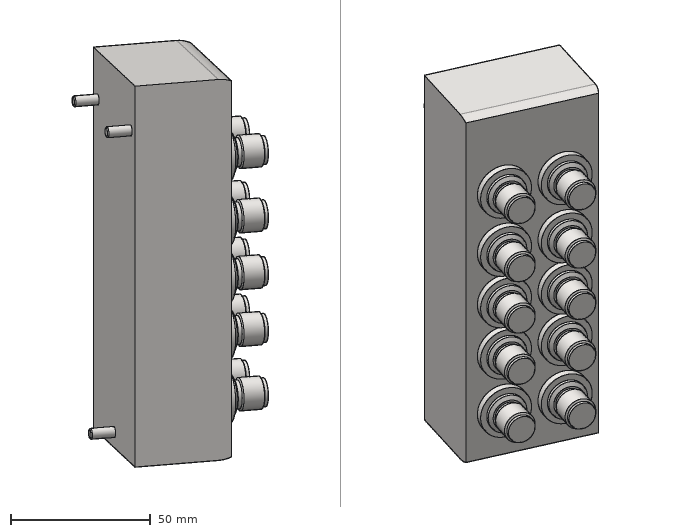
import cadquery as cq
import math


OVERALL_DEPTH = 61.6

HOUSING_WIDTH = 53.2
HOUSING_DEPTH = 36.0
HOUSING_HEIGHT = 142.0
EDGE_ROUND_DEPTH = 5.0
EDGE_ROUND_INSET = 1.0

FLANGE_DIAMETER = 20.0
COLLAR_DIAMETER = 15.2
NECK_DIAMETER = 10.5
BARREL_DIAMETER = 12.0
CONNECTOR_LENGTH = 16.5
FLANGE_TOP = 2.8
COLLAR_TOP = 4.1
COLLAR_BEVEL_TOP = 5.0
BARREL_BOTTOM = 7.1
BARREL_TOP = 15.2
BARREL_BEVEL = 0.4
COLUMN_SPACING = 23.9
COLUMN_CENTER_X = 0.1
ROW_CENTER_Z = -6.1
INNER_ROW_PITCH = 21.2
OUTER_ROW_PITCH = 24.0

PIN_DIAMETER = 4.0
PIN_LENGTH = OVERALL_DEPTH - HOUSING_DEPTH - CONNECTOR_LENGTH
PIN_CHAMFER = 0.4
PIN_SPACING = 42.0
PIN_CENTER_X = -0.1
UPPER_PIN_TO_TOP = 18.0
LOWER_PIN_TO_BOTTOM = 5.8


def margin_inset(depth):
    """Inset of the rounded margin, tangent to the housing side, at a depth along it."""
    radius = (EDGE_ROUND_DEPTH**2 + EDGE_ROUND_INSET**2) / (2 * EDGE_ROUND_INSET)
    return radius - math.sqrt(radius**2 - depth**2)


def make_housing_block():
    """Block with rounded front margins at the top, the bottom and the -X side."""
    half_width = HOUSING_WIDTH / 2
    half_height = HOUSING_HEIGHT / 2
    round_start = HOUSING_DEPTH - EDGE_ROUND_DEPTH
    arc_y = round_start + EDGE_ROUND_DEPTH / 2
    arc_inset = margin_inset(EDGE_ROUND_DEPTH / 2)

    plan = (
        cq.Workplane("XY")
        .moveTo(half_width, 0)
        .lineTo(half_width, HOUSING_DEPTH)
        .lineTo(-half_width + EDGE_ROUND_INSET, HOUSING_DEPTH)
        .threePointArc((-half_width + arc_inset, arc_y), (-half_width, round_start))
        .lineTo(-half_width, 0)
        .close()
        .extrude(half_height, both=True)
    )
    side = (
        cq.Workplane("YZ")
        .moveTo(0, -half_height)
        .lineTo(round_start, -half_height)
        .threePointArc((arc_y, -half_height + arc_inset), (HOUSING_DEPTH, -half_height + EDGE_ROUND_INSET))
        .lineTo(HOUSING_DEPTH, half_height - EDGE_ROUND_INSET)
        .threePointArc((arc_y, half_height - arc_inset), (round_start, half_height))
        .lineTo(0, half_height)
        .close()
        .extrude(half_width, both=True)
    )
    return plan.intersect(side)


def make_connector(x, z):
    """Stepped round connector standing on the housing front at (x, z)."""
    flange_radius = FLANGE_DIAMETER / 2
    collar_radius = COLLAR_DIAMETER / 2
    neck_radius = NECK_DIAMETER / 2
    barrel_radius = BARREL_DIAMETER / 2
    profile = [
        (0, 0),
        (flange_radius, 0),
        (flange_radius, FLANGE_TOP),
        (collar_radius, FLANGE_TOP),
        (collar_radius, COLLAR_TOP),
        (barrel_radius, COLLAR_BEVEL_TOP),
        (neck_radius, COLLAR_BEVEL_TOP),
        (neck_radius, BARREL_BOTTOM - BARREL_BEVEL),
        (barrel_radius, BARREL_BOTTOM),
        (barrel_radius, BARREL_TOP - BARREL_BEVEL),
        (neck_radius, BARREL_TOP),
        (neck_radius, CONNECTOR_LENGTH),
        (0, CONNECTOR_LENGTH),
    ]
    connector = cq.Workplane("XY").polyline(profile).close().revolve(360, (0, 0, 0), (0, 1, 0))
    return connector.translate((x, HOUSING_DEPTH, z))


def make_housing():
    """Housing block carrying its two columns of connectors."""
    body = make_housing_block()
    outer_row = INNER_ROW_PITCH + OUTER_ROW_PITCH
    row_offsets = [-outer_row, -INNER_ROW_PITCH, 0, INNER_ROW_PITCH, outer_row]
    for side in (-1, 1):
        column_x = COLUMN_CENTER_X + side * COLUMN_SPACING / 2
        for row_offset in row_offsets:
            body = body.union(make_connector(column_x, ROW_CENTER_Z + row_offset))
    return body


def make_pin(x, z):
    """Pin standing on the mounting face, chamfered at its free end."""
    pin = cq.Workplane("XZ").circle(PIN_DIAMETER / 2).extrude(PIN_LENGTH)
    return pin.faces("<Y").chamfer(PIN_CHAMFER).translate((x, 0, z))


housing = make_housing()

upper_pin_z = HOUSING_HEIGHT / 2 - UPPER_PIN_TO_TOP
lower_pin_z = -HOUSING_HEIGHT / 2 + LOWER_PIN_TO_BOTTOM
pin_places = [
    (PIN_CENTER_X - PIN_SPACING / 2, upper_pin_z),
    (PIN_CENTER_X + PIN_SPACING / 2, upper_pin_z),
    (PIN_CENTER_X, lower_pin_z),
]
pins = [make_pin(x, z).val() for x, z in pin_places]

result = cq.Compound.makeCompound([housing.val(), *pins])